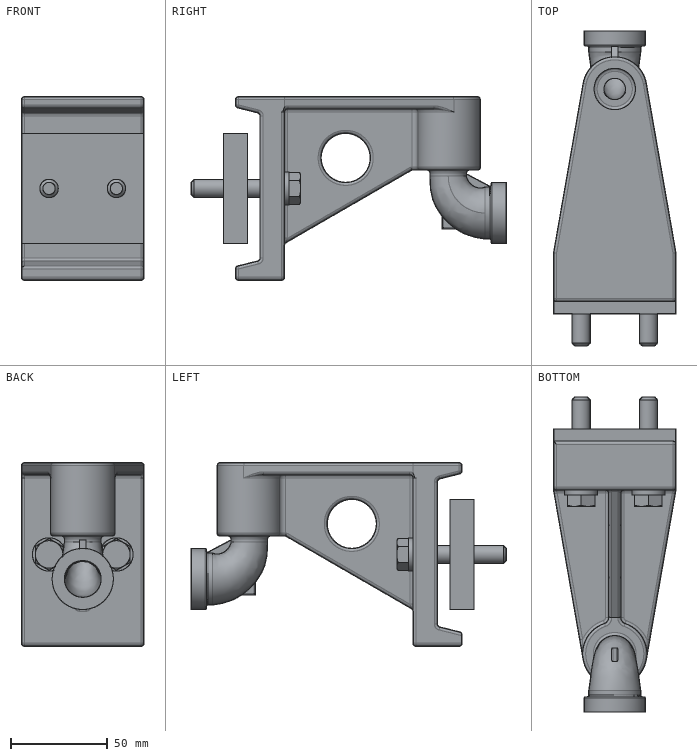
import cadquery as cq
import math


tolerance = 1e-3

width = 63.5
height = 95.25
web = 12.7
flange_reach = 25.4
upper_tip = 5.55625
lower_tip = 7.14375
flange_rise = 3.175
edge_r = 1.5875

slab_thickness = 6.35
boss_d = 33.3375
boss_height = 38.1
arm_reach = 101.6
bore_d = 21.43125
bore_depth = 31.75
rib_thickness = 6.35
rib_depth = 76.2
rib_slope = 30
rib_boss_r = 3.175
window_d = 25.4
window_y = 31.75
window_drop = 31.75

bend_r = 19.05
neck_d = 19.05
neck_length = 3.175
outlet_d = 26.9875
outlet_length = 3.175
passage_d = 11.1125
collar_d = 31.75
collar_length = 7.9375
elbow_wall = (neck_d - passage_d) / 2
rim_r = 0.79375
gusset_thickness = 3.175
heel_setback = 3.175
heel_drop = 8.334
heel_size = 8.5

bolt_d = 9.525
bolt_x = 17.4625
bolt_length = 50.8
bolt_tip = 1.5875
head_flats = 14.2875
head_height = 6.0325
head_chamfer_angle = 30
washer_d = 17.272
washer_thickness = 2.38125

plate_height = 57.15
plate_thickness = 12.7
plate_front_y = -31.75

top = height / 2
bottom = -height / 2
half_width = width / 2
slab_under = top - slab_thickness
fillet_foot = slab_under - edge_r
boss_r = boss_d / 2
boss_y = arm_reach - boss_r
boss_bottom = top - boss_height
rib_bottom = top - rib_depth
rib_side = rib_thickness / 2
bend_top = boss_bottom - neck_length
outlet_z = bend_top - bend_r
bend_end_y = boss_y + bend_r
collar_y = bend_end_y + outlet_length
outlet_y = collar_y + collar_length

tangent_angle = math.acos(boss_r / math.hypot(half_width, boss_y)) - math.atan2(boss_y, half_width)
tangent_x = boss_r * math.cos(tangent_angle)
tangent_y = boss_y + boss_r * math.sin(tangent_angle)


def near(a, b):
    return abs(a - b) < tolerance


def fillet_where(body, radius, wanted):
    """Rounds the edges of body whose bounding box passes the test wanted."""
    edges = [edge for edge in body.edges().vals() if wanted(edge.BoundingBox())]
    return body.newObject([body.val().fillet(radius, edges)])


def is_level_at(box, z):
    return near(box.zmin, z) and near(box.zmax, z)


def is_upright_at(box, x, y):
    """True for a vertical edge at (x, y) or at its mirror image (-x, y)."""
    upright = box.zlen > tolerance and box.xlen < tolerance and box.ylen < tolerance
    return upright and near(abs(box.xmin), x) and near(box.ymin, y)


def block(x_range, y_range, z_range):
    """A box given by its lower and upper limits along each axis."""
    sizes = [high - low for low, high in (x_range, y_range, z_range)]
    corner = [low for low, high in (x_range, y_range, z_range)]
    return cq.Workplane("XY").box(*sizes, centered=False).translate(tuple(corner))



def boss_and_rib():
    boss = (
        cq.Workplane("XY", origin=(0, boss_y, top)).circle(boss_r).extrude(-boss_height)
        .rotate((0, boss_y, 0), (0, boss_y, 1), -90)
    )
    slope_start_y = (boss_bottom - rib_bottom) / math.tan(math.radians(rib_slope))
    rib = (
        cq.Workplane("YZ")
        .polyline([
            (-web / 2, top), (boss_y, top), (boss_y, boss_bottom),
            (slope_start_y, boss_bottom), (0, rib_bottom), (-web / 2, rib_bottom),
        ])
        .close().extrude(rib_side, both=True)
    )
    junction_y = boss_y - math.sqrt(boss_r**2 - rib_side**2)
    stem = fillet_where(
        boss.union(rib).clean(), rib_boss_r,
        lambda box: is_upright_at(box, rib_side, junction_y),
    )
    return fillet_where(
        stem, edge_r,
        lambda box: box.zmax < boss_bottom + tolerance and box.ymin > -tolerance and box.ylen > tolerance,
    )


def slab_and_web(stem):
    """Slab and web with concave fillets around the stem, cut to the tapered outline."""
    oversize = (
        block((-width, width), (-web, arm_reach + width), (slab_under, top))
        .union(block((-width, width), (-web, 0), (bottom, top)))
    )
    filleted = fillet_where(
        oversize.union(stem).clean(), edge_r,
        lambda box: (is_level_at(box, slab_under) and box.ymin > -tolerance
                     and box.ymax < arm_reach + tolerance)
        or is_upright_at(box, rib_side, 0),
    )
    outline = [
        (-half_width, -web), (-half_width, 0), (-tangent_x, tangent_y),
        (tangent_x, tangent_y), (half_width, 0), (half_width, -web),
    ]
    below_slab = (bottom, fillet_foot)
    web_block = block((-half_width, half_width), (-web, 0), below_slab)
    rib_zone = block((-rib_thickness, rib_thickness), (-web, edge_r), below_slab)
    envelope = (
        cq.Workplane("XY", origin=(0, 0, fillet_foot)).polyline(outline).close()
        .extrude(top - fillet_foot)
        .union(web_block.edges("|Z and >Y").fillet(edge_r))
        .union(rib_zone)
    )
    return filleted.intersect(envelope).clean()


def channel_profile():
    return (
        cq.Workplane("YZ")
        .polyline([
            (-web / 2, bottom), (-flange_reach, bottom), (-flange_reach, bottom + lower_tip),
            (-web, bottom + lower_tip + flange_rise), (-web, top - upper_tip - flange_rise),
            (-flange_reach, top - upper_tip), (-flange_reach, top), (-web / 2, top),
        ])
        .close().extrude(half_width, both=True)
    )


def is_outer_edge(box):
    """Edges of the finished arm and channel that are rounded on the outside."""
    on_side = box.xlen < tolerance and near(abs(box.xmin), half_width)
    on_tip = near(box.ymin, -flange_reach) and near(box.ymax, -flange_reach)
    inside_height = box.zmin > bottom + tolerance and box.zmax < top - tolerance
    recess_side = on_side and inside_height and box.ymax < edge_r - web and not on_tip
    tip_length = on_tip and box.xlen > tolerance
    tip_corner = on_tip and on_side and (box.zmin > 0 or box.xmin > 0)
    rim = is_level_at(box, top) or is_level_at(box, bottom)
    return recess_side or tip_length or tip_corner or rim


def arm_and_channel():
    stem = boss_and_rib()
    body = slab_and_web(stem).union(channel_profile()).clean()
    body = fillet_where(
        body, edge_r,
        lambda box: near(box.ymin, -web) and near(box.ymax, -web) and box.xlen > tolerance,
    )
    body = fillet_where(
        body, edge_r,
        lambda box: is_level_at(box, slab_under) and box.ylen > boss_y / 2,
    )
    return fillet_where(body.union(stem).clean(), edge_r, is_outer_edge)


def level_circle(diameter, z):
    """A horizontal circle on the boss axis."""
    return cq.Workplane("XY", origin=(0, boss_y, z)).circle(diameter / 2)


def outlet_circle(diameter, y):
    """An upright circle on the outlet axis."""
    return cq.Workplane("XZ", origin=(0, y, outlet_z)).circle(diameter / 2)


def bend(start_d, end_d):
    """A quarter bend that widens from start_d at the neck to end_d at the outlet."""
    midway = bend_r * math.sqrt(0.5)
    path = (
        cq.Workplane("YZ", origin=(0, bend_end_y, bend_top)).moveTo(-bend_r, 0)
        .threePointArc((-midway, -midway), (0, -bend_r))
    )
    start = level_circle(start_d, bend_top).wires().val()
    end = outlet_circle(end_d, bend_end_y).wires().val()
    return cq.Workplane(cq.Solid.sweep_multi([start, end], path.val()))


def outlet_and_collar():
    outlet = outlet_circle(outlet_d, bend_end_y).extrude(-outlet_length)
    collar = outlet_circle(collar_d, collar_y).extrude(-collar_length)
    return fillet_where(
        outlet.union(collar), rim_r,
        lambda box: near(box.ymin, collar_y) and near(box.ymax, collar_y),
    )


def gusset():
    """Web in the throat of the elbow, from the collar up to the neck."""
    inside_neck_y = boss_y + neck_d / 2 - rim_r
    inside_outlet_z = outlet_z + outlet_d / 2 - elbow_wall / 2
    throat_r = bend_r - (neck_d + outlet_d) / 4
    buried = (throat_r + elbow_wall / 2) * math.sqrt(0.5)
    return (
        cq.Workplane("YZ")
        .polyline([
            (collar_y, outlet_z + outlet_d / 2), (inside_neck_y, boss_bottom - edge_r),
            (inside_neck_y, bend_top), (bend_end_y - buried, bend_top - buried),
            (bend_end_y, inside_outlet_z), (collar_y, inside_outlet_z),
        ])
        .close().extrude(gusset_thickness / 2, both=True)
    )


def heel():
    """Square corner block on the outside of the bend, as thick as the gusset."""
    half = gusset_thickness / 2
    low_z = outlet_z - heel_drop
    front_y = boss_y - heel_setback
    corner = block((-half, half), (front_y, front_y + heel_size), (low_z, low_z + heel_size))
    return corner.edges("(|Z and <Y) or (|Y and <Z)").fillet(rim_r)


def elbow():
    neck = level_circle(neck_d, boss_bottom).extrude(-neck_length)
    return neck.union(bend(neck_d, outlet_d)).union(outlet_and_collar()).union(gusset()).union(heel())


def passage():
    """Flow path: round-bottomed bore in the boss, then down and around through the elbow."""
    bore = level_circle(bore_d, top).extrude(-bore_depth).faces("<Z").edges().fillet(edge_r)
    outlet_bore_d = outlet_d - 2 * elbow_wall
    drop = level_circle(passage_d, bend_top).extrude(top - bore_depth - bend_top)
    run = outlet_circle(outlet_bore_d, bend_end_y).extrude(bend_end_y - outlet_y)
    return bore, drop, bend(passage_d, outlet_bore_d), run


def cut_window(body):
    """Round opening through the rib, rounded at both mouths."""
    window = (
        cq.Workplane("YZ", origin=(0, window_y, top - window_drop)).circle(window_d / 2)
        .extrude(rib_thickness, both=True)
    )
    return fillet_where(
        body.cut(window), edge_r,
        lambda box: box.xlen < tolerance and near(abs(box.xmin), rib_side)
        and near(box.ylen, window_d),
    )


def bolt_holes():
    return (
        cq.Workplane("XZ").pushPoints([(x, 0) for x in bolt_places]).circle(bolt_d / 2)
        .extrude(bolt_length, both=True)
    )


def make_bracket():
    body = arm_and_channel().union(elbow())
    body = fillet_where(
        body, edge_r,
        lambda box: is_level_at(box, boss_bottom) and near(box.xlen, neck_d),
    )
    for cavity in passage():
        body = body.cut(cavity)
    return cut_window(body).cut(bolt_holes())



def make_plate():
    plate = block(
        (-half_width, half_width),
        (plate_front_y, plate_front_y + plate_thickness),
        (-plate_height / 2, plate_height / 2),
    )
    return plate.cut(bolt_holes())



def make_washer(x):
    seat = cq.Workplane("XZ", origin=(x, 0, 0))
    return seat.circle(washer_d / 2).circle(bolt_d / 2).extrude(-washer_thickness)



def make_bolt(x):
    seat = cq.Workplane("XZ", origin=(x, washer_thickness, 0))
    shank = seat.circle(bolt_d / 2).extrude(bolt_length).faces("<Y").edges().chamfer(bolt_tip)
    corners_d = head_flats / math.cos(math.pi / 6)
    hexagon = seat.transformed(rotate=(0, 0, 90)).polygon(6, corners_d).extrude(-head_height)
    trim = (corners_d - head_flats) / 2
    trim_height = trim * math.tan(math.radians(head_chamfer_angle))
    trimmed_round = (
        seat.circle(corners_d / 2).extrude(-head_height)
        .faces(">Y").edges().chamfer(trim_height, trim)
    )
    return shank.union(hexagon.intersect(trimmed_round))


bolt_places = (-bolt_x, bolt_x)
bracket = make_bracket()
plate = make_plate()
washers = [make_washer(x) for x in bolt_places]
bolts = [make_bolt(x) for x in bolt_places]

result = cq.Compound.makeCompound([
    bracket.val(),
    plate.val(),
    *[washer.val() for washer in washers],
    *[bolt.val() for bolt in bolts],
])